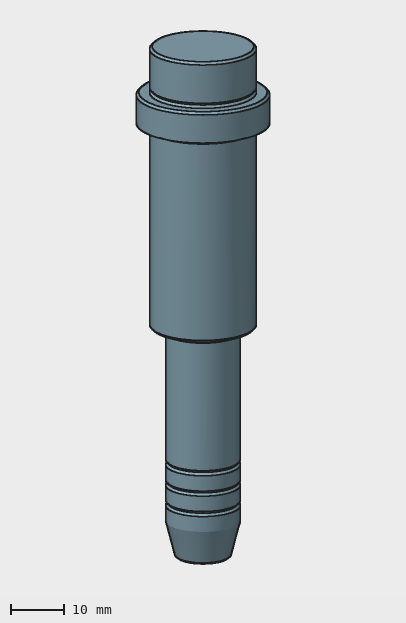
import cadquery as cq

total_height = 100.0
flange_bottom = 85.0
flange_height = 6.0
body_bottom = 45.0
taper_height = 7.0

flange_radius = 12.5
body_radius = 10.0
pin_radius = 7.0
tip_radius = 5.2

edge_chamfer = 0.5
tip_chamfer = 0.4
groove_depth = 0.5
groove_width = 2 * groove_depth
ring_groove_bottoms = (10.0, 14.0, 18.0)
neck_height = 1.0
neck_step = 0.5
neck_radius = pin_radius - neck_step

flange_top = flange_bottom + flange_height
neck_bottom = body_bottom - neck_height


def cylinder(radius, bottom, top):
    """Solid cylinder on the Z axis between two heights."""
    return cq.Workplane("XY").workplane(offset=bottom).circle(radius).extrude(top - bottom)


def groove(surface_radius, bottom):
    """Ring of diamond section that cuts a 90 degree V into a cylindrical surface."""
    middle = bottom + groove_depth
    return (
        cq.Workplane("XZ")
        .moveTo(surface_radius - groove_depth, middle)
        .lineTo(surface_radius, bottom)
        .lineTo(surface_radius + groove_depth, middle)
        .lineTo(surface_radius, bottom + groove_width)
        .close()
        .revolve(360, (0, 0), (0, 1))
    )


tip = (
    cq.Workplane("XY")
    .circle(tip_radius)
    .workplane(offset=taper_height)
    .circle(pin_radius)
    .loft(ruled=True)
    .faces("<Z")
    .chamfer(tip_chamfer)
)
pin = tip.union(cylinder(pin_radius, taper_height, neck_bottom))

for groove_bottom in ring_groove_bottoms:
    pin = pin.cut(groove(pin_radius, groove_bottom))

body = cylinder(body_radius, body_bottom, total_height).faces("<Z or >Z").chamfer(edge_chamfer)
for groove_bottom in (flange_bottom - groove_width, flange_top):
    body = body.cut(groove(body_radius, groove_bottom))

flange = cylinder(flange_radius, flange_bottom, flange_top).faces(">Z").chamfer(edge_chamfer)

neck = cylinder(neck_radius, neck_bottom, body_bottom)

result = pin.union(neck).union(body).union(flange)